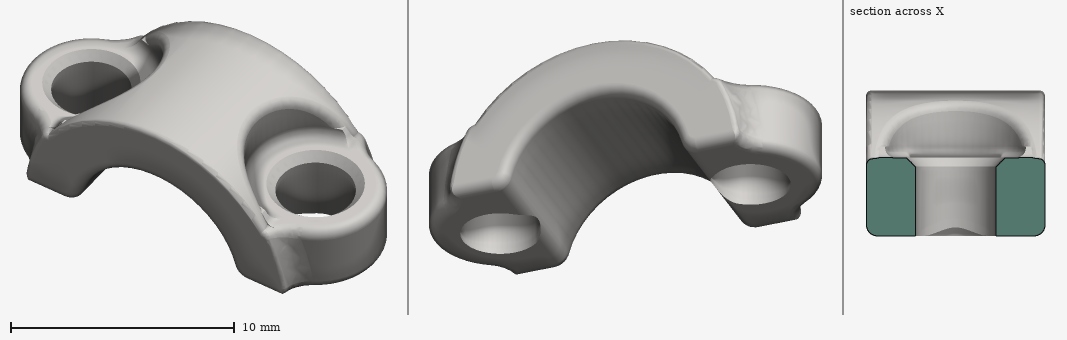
import cadquery as cq

width = 8.0
outer_radius = 7.0
bore_radius = 4.25
axis_drop = 0.5

lug_offset = 6.0
lug_radius = 3.2
lug_height = 3.5
hole_diameter = 3.6
hole_chamfer = 0.4

edge_fillet = 0.5
foot_fillet = 0.8
rim_fillet = 0.25
junction_fillet = 1.5

stock = 2 * (lug_offset + lug_radius) + 2 * outer_radius
blend_width = 2 * width
run_out = 1.0
half_width = width / 2
tolerance = 0.001


def arch_cylinder(radius, length):
    """Cylinder along Y on the arch axis."""
    return cq.Workplane("XZ").center(0, -axis_drop).circle(radius).extrude(length / 2, both=True)


def lug_cylinders(radius, bottom, top):
    """Pair of vertical cylinders on the screw axes."""
    return (
        cq.Workplane("XY", origin=(0, 0, bottom))
        .pushPoints([(-lug_offset, 0), (lug_offset, 0)])
        .circle(radius)
        .extrude(top - bottom)
    )


def slab(depth, bottom, top):
    """Long block, centred on the origin in X and Y."""
    return cq.Workplane("XY", origin=(0, 0, bottom)).rect(stock, depth).extrude(top - bottom)


def pick_edges(body, chosen):
    """Select the edges for which chosen(edge, its bounding box) holds."""
    edges = [edge for edge in body.edges().vals() if chosen(edge, edge.BoundingBox())]
    return body.newObject(edges)


def round_edges(body, chosen, radius):
    return pick_edges(body, chosen).fillet(radius)


def is_seam(edge, box):
    """Curves where lug and arch cylinders meet are the only free-form edges."""
    return edge.geomType() == "BSPLINE"


def is_level(box):
    return box.zmax - box.zmin < tolerance


def on_side_face(box):
    flat = box.ymax - box.ymin < tolerance
    return flat and abs(abs(box.ymin) - half_width) < tolerance


def make_base():
    """Lower part up to the lug tops, with blended lugs and rounded outlines.

    The arch is made overwide so that the blends and rounds run out past the
    side faces before the base is trimmed to width.
    """
    lugs = lug_cylinders(lug_radius, -outer_radius, 2 * outer_radius)
    body = arch_cylinder(outer_radius, blend_width).union(lugs)
    body = body.intersect(slab(stock, -axis_drop - run_out, stock))
    body = round_edges(body, is_seam, junction_fillet)
    body = body.intersect(slab(stock, 0, lug_height))

    def on_outline(edge, box):
        return is_level(box) and box.ymax - box.ymin > tolerance

    body = round_edges(body, on_outline, edge_fillet)
    body = body.intersect(slab(width, 0, lug_height))

    def is_side_rim(edge, box):
        return on_side_face(box) and box.zmax - box.zmin > edge_fillet + rim_fillet

    return round_edges(body, is_side_rim, rim_fillet)


def make_crown():
    """Upper part of the arch with the round-edged screw head pockets."""
    body = arch_cylinder(outer_radius, width)
    body = body.cut(lug_cylinders(lug_radius, -2 * outer_radius, 2 * outer_radius))
    body = round_edges(body, is_seam, edge_fillet)

    def is_side_edge(edge, box):
        return on_side_face(box)

    body = round_edges(body, is_side_edge, rim_fillet)
    return body.intersect(slab(stock, lug_height - 2 * edge_fillet, stock))


def make_shoulders():
    """Arch running into a level shelf at lug height through concave rounds."""
    body = arch_cylinder(outer_radius, width).union(slab(width, -outer_radius, lug_height))

    def is_shelf_corner(edge, box):
        at_shelf = abs(box.zmin - lug_height) < tolerance and is_level(box)
        return at_shelf and box.ymax - box.ymin > tolerance and abs(box.xmin) < outer_radius

    return round_edges(body, is_shelf_corner, edge_fillet)


def make_pocket_coves():
    """Concave rings between the pocket floors and walls, inboard of the screw axes.

    Limiting them to the shouldered arch lets their ends fade into the lug tops.
    """
    ring_top = lug_height + edge_fillet
    overlap_bottom = lug_height - edge_fillet
    coves = lug_cylinders(lug_radius + rim_fillet, overlap_bottom, ring_top)
    pocket = lug_cylinders(lug_radius, lug_height, ring_top + edge_fillet)
    coves = coves.cut(pocket.faces("<Z").edges().fillet(edge_fillet))
    inboard = cq.Workplane("XY").box(2 * lug_offset, width, stock)
    return coves.intersect(inboard).intersect(make_shoulders())


def make_envelope():
    """Width and bore limits, with the base and bore edges rounded."""
    body = slab(width, 0, outer_radius).cut(arch_cylinder(bore_radius, stock))

    def is_bore_foot(edge, box):
        return box.zmax < tolerance and box.ymax - box.ymin > tolerance and abs(box.xmin) < outer_radius

    body = round_edges(body, is_bore_foot, foot_fillet)

    def is_lower_side(edge, box):
        return on_side_face(box) and box.zmax < bore_radius

    return round_edges(body, is_lower_side, edge_fillet)


def drill_holes(body):
    """Through holes with a countersunk upper edge."""
    hole_radius = hole_diameter / 2
    body = body.cut(lug_cylinders(hole_radius, 0, lug_height))

    def is_hole_mouth(edge, box):
        at_top = abs(box.zmin - lug_height) < tolerance and is_level(box)
        return at_top and edge.geomType() == "CIRCLE" and abs(edge.radius() - hole_radius) < tolerance

    return pick_edges(body, is_hole_mouth).chamfer(hole_chamfer)


part = make_base().union(make_crown())
part = part.union(make_pocket_coves())
part = part.intersect(make_envelope())
result = drill_holes(part)